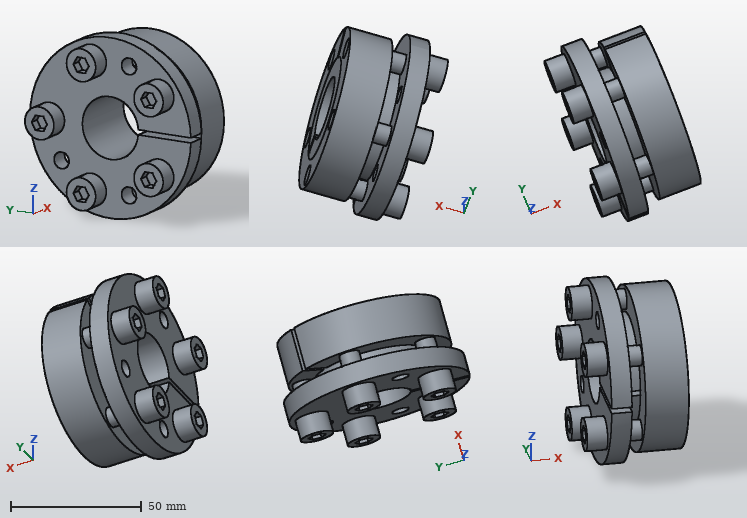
import cadquery as cq
import math

head_length = 8.0
flange_thickness = 8.0
gap = 6.05
ring_length = 17.0
flange_back = flange_thickness
ring_front = flange_back + gap
ring_back = ring_front + ring_length

flange_diameter = 72
ring_diameter = 64.9
bore_diameter = 25.0

cone_angle = 4.8
cone_radius_at_flange = 22.5
slit_width = 2.0

screw_count = 5
screw_pitch = 360 / screw_count
bolt_circle_radius = 27.0
shank_diameter = 8.0
head_diameter = 13.0
socket_sides = 6
socket_flats = 6.0
socket_corners = socket_flats / math.cos(math.pi / socket_sides)
socket_depth = 4.0
jack_hole_diameter = 6.6

screw_angles = [i * screw_pitch for i in range(screw_count)]
midway_angles = [angle + screw_pitch / 2 for angle in screw_angles]
ring_slit_angle = midway_angles[0]
hub_slit_angle = midway_angles[2]
jack_hole_angles = midway_angles[1:2] + midway_angles[3:]


def cone_radius(x):
    """Radius of the shared cone at the position x."""
    return cone_radius_at_flange - (x - flange_back) * math.tan(math.radians(cone_angle))


def bolt_circle_point(angle):
    """Y and Z of the bolt circle point at the given angle."""
    turn = math.radians(angle)
    return bolt_circle_radius * math.cos(turn), bolt_circle_radius * math.sin(turn)


def cylinder(diameter, x_start, x_end, center=(0, 0)):
    """Cylinder along X between two positions, centred on a Y, Z point."""
    return (
        cq.Workplane("YZ", origin=(x_start, 0, 0))
        .center(*center)
        .circle(diameter / 2)
        .extrude(x_end - x_start)
    )


def cone(x_start, x_end):
    """Solid piece of the shared cone between two positions."""
    profile = [
        (x_start, 0),
        (x_start, cone_radius(x_start)),
        (x_end, cone_radius(x_end)),
        (x_end, 0),
    ]
    return cq.Workplane("XY").polyline(profile).close().revolve(360, (0, 0, 0), (1, 0, 0))


def slit(angle):
    """Cutter for a radial slit, from the axis outward along the full length."""
    return (
        cq.Workplane("XY")
        .box(ring_back, flange_diameter, slit_width, centered=(False, False, True))
        .rotate((0, 0, 0), (1, 0, 0), angle)
    )


def make_hub():
    """Slit tapered sleeve with a flange, screw holes and jacking holes."""
    hub = cylinder(flange_diameter, 0, flange_back).union(cone(flange_back, ring_back))
    hub = hub.cut(cylinder(bore_diameter, 0, ring_back))
    for angle in screw_angles:
        hub = hub.cut(cylinder(shank_diameter, 0, flange_back, bolt_circle_point(angle)))
    for angle in jack_hole_angles:
        hub = hub.cut(cylinder(jack_hole_diameter, 0, flange_back, bolt_circle_point(angle)))
    return hub.cut(slit(hub_slit_angle))


def make_clamping_ring():
    """Slit outer ring with a tapered bore that fits on the hub cone."""
    ring = cylinder(ring_diameter, ring_front, ring_back).cut(cone(ring_front, ring_back))
    for angle in screw_angles:
        ring = ring.cut(cylinder(shank_diameter, ring_front, ring_back, bolt_circle_point(angle)))
    return ring.cut(slit(ring_slit_angle))


def make_screw(angle):
    """Socket head screw reaching through the flange and the clamping ring."""
    center = bolt_circle_point(angle)
    head = cylinder(head_diameter, -head_length, 0, center)
    shank = cylinder(shank_diameter, 0, ring_back, center)
    socket = (
        cq.Workplane("YZ", origin=(-head_length, 0, 0))
        .center(*center)
        .polygon(socket_sides, socket_corners)
        .extrude(socket_depth)
    )
    return head.union(shank).cut(socket)


hub = make_hub()
clamping_ring = make_clamping_ring()
screws = [make_screw(angle) for angle in screw_angles]

result = cq.Compound.makeCompound([
    hub.solids().val(),
    clamping_ring.solids().val(),
    *[screw.solids().val() for screw in screws],
])